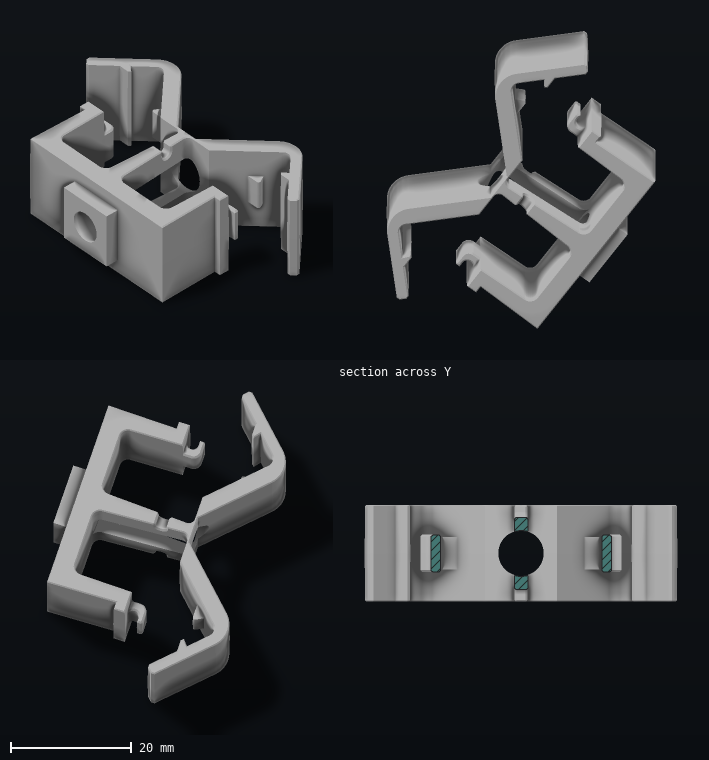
import cadquery as cq
import math

ROOT_2 = math.sqrt(2)
SHARP = 0.0

TOTAL_WIDTH = 51.73
HALF_HEIGHT = 8.0
DRAFT_ANGLE = 0.5
EDGE_BREAK = 0.2

TRAY_HALF_WIDTH = 16.3
POST_OUTER_TOP_X = 16.0
POST_INNER_TOP_X = 13.3
POST_INNER_FLOOR_X = 13.05
POST_TOP_Y = 13.95
LIP_X = 17.25
LIP_HEIGHT = 2.05
FRONT_EXCESS = 1.0
FLOOR_Y = 3.55
FLOOR_FILLET = 1.35
WEB_FLOOR_X = 1.72
WEB_TOP_X = 0.92
WEB_FILLET = 1.0

VALLEY_X = 2.2
VALLEY_Y = 20.28
ARM_BOTTOM_Y = 19.72
ARM_TOP_Y = 31.2
INNER_LEG = 3.06
OUTER_LEG = 2.1
PEAK_OUTER_RADIUS = 4.2
PEAK_INNER_RADIUS = 1.25
TIP_CHAMFER = 0.45

RIB_ROOT_X = 19.35
RIB_TIP_X = 18.3
RIB_TIP_Y = 24.6
RIB_END_X = 18.75
RIB_BOTTOM_Y = 24.1

NUB_TOP_Y = 26.15
NUB_TIP_X = 13.4
NUB_BOTTOM_Y = 24.27
NUB_FILLET = 0.4
NUB_HALF_HEIGHT = 2.7
NUB_EMBED = 1.0

HOOK_TOP_Y = 16.78
HOOK_END_X = 16.65
HOOK_OUTER_RADIUS = 1.4
HOOK_TIP_RADIUS = 0.4
HOOK_GAP_BOTTOM_Y = 13.9
HOOK_GAP_TOP_Y = 15.8
HOOK_GAP_X = 14.85
HOOK_GAP_RADIUS = 0.93
HOOK_HALF_HEIGHT = 3.1
HOOK_EDGE_BREAK = 0.3
HOOK_EMBED = 1.0

NOTCH_Y = 14.8
NOTCH_RADIUS = 0.95
NOTCH_DEPTH = 2.1
NOTCH_EDGE_BREAK = 0.3
RIM_MARGIN = 0.05

PAD_SIZE = 10.5
PAD_THICKNESS = 2.5
PAD_EMBED = 1.0
BORE_RADIUS = 2.8
CLEARANCE_RADIUS = 3.75

OUTER_RISE = VALLEY_Y - VALLEY_X
INNER_RISE = OUTER_RISE - INNER_LEG * ROOT_2
PEAK_Y = ARM_TOP_Y + PEAK_OUTER_RADIUS * (ROOT_2 - 1)
PEAK_X = PEAK_Y - OUTER_RISE
OUTER_FALL = PEAK_Y + PEAK_X
INNER_FALL = OUTER_FALL - OUTER_LEG * ROOT_2


def offset_corners(outline, inset):
    """Move each side of a clockwise (x, y, radius) outline inward by the inset.

    Yields every corner's new place, its new radius, and the directions into and out of it.
    """
    places = [cq.Vector(x, y) for x, y, _ in outline]
    for i, (_, _, radius) in enumerate(outline):
        before = (places[i] - places[i - 1]).normalized()
        after = (places[(i + 1) % len(places)] - places[i]).normalized()
        turn = before.x * after.y - before.y * after.x
        if radius > SHARP:
            radius += math.copysign(inset, turn)
        yield places[i] + (before - after) * (inset / turn), radius, before, after


def rounded_wire(outline, inset, z):
    """Closed wire of the inset outline at height z, with its rounded corners as arcs."""
    stops = []
    for corner, radius, before, after in offset_corners(outline, inset):
        corner += cq.Vector(0, 0, z)
        if radius > SHARP:
            half_turn = before.getAngle(after) / 2
            reach = radius * math.tan(half_turn)
            sagitta_gap = radius / math.cos(half_turn) - radius
            middle = corner + (after - before).normalized() * sagitta_gap
            stops.append((corner - before * reach, middle, corner + after * reach))
        else:
            stops.append((corner, None, corner))
    edges = []
    for i, (start, middle, end) in enumerate(stops):
        edges.append(cq.Edge.makeLine(stops[i - 1][2], start))
        if middle is not None:
            edges.append(cq.Edge.makeThreePointArc(start, middle, end))
    return cq.Wire.assembleEdges(edges)


def drafted(outline, half_height, edge_break):
    """Solid symmetric about z = 0, drafted both ways, with chamfered end faces."""
    straight = half_height - edge_break
    inset = straight * math.tan(math.radians(DRAFT_ANGLE))
    levels = [(0, 0), (inset, straight)]
    if edge_break > 0:
        levels.append((inset + edge_break, half_height))
    wires = [rounded_wire(outline, *level) for level in levels]
    half = cq.Workplane(cq.Solid.makeLoft(wires, True))
    return half.union(half.mirror("XY"))


def on_both_sides(feature):
    return feature.union(feature.mirror("YZ"))


def flatten_front(body):
    """Trim the front to a plane without draft and chamfer its end edges."""
    keep = cq.Workplane("XZ").rect(2 * TOTAL_WIDTH, 4 * HALF_HEIGHT).extrude(-2 * ARM_TOP_Y)
    return body.intersect(keep).faces("<Y").edges(">Z or <Z").chamfer(EDGE_BREAK)


def make_body():
    chamfer_step = TIP_CHAMFER / ROOT_2
    tip_x = TOTAL_WIDTH / 2
    tip_y = OUTER_FALL - tip_x
    inner_tip_x = tip_x + chamfer_step - OUTER_LEG / ROOT_2
    inner_tip_y = INNER_FALL - inner_tip_x
    lip_bottom_y = POST_TOP_Y - LIP_HEIGHT
    right = [
        (VALLEY_X, VALLEY_Y, SHARP),
        (PEAK_X, PEAK_Y, PEAK_OUTER_RADIUS),
        (tip_x, tip_y, SHARP),
        (tip_x, tip_y - 2 * chamfer_step, SHARP),
        (inner_tip_x + chamfer_step, inner_tip_y + chamfer_step, SHARP),
        (inner_tip_x - chamfer_step, inner_tip_y + chamfer_step, SHARP),
        (INNER_FALL - RIB_BOTTOM_Y, RIB_BOTTOM_Y, SHARP),
        (RIB_END_X, RIB_BOTTOM_Y, SHARP),
        (RIB_TIP_X, RIB_TIP_Y, SHARP),
        (RIB_ROOT_X, INNER_FALL - RIB_ROOT_X, SHARP),
        ((INNER_FALL - INNER_RISE) / 2, (INNER_FALL + INNER_RISE) / 2, PEAK_INNER_RADIUS),
        (ARM_BOTTOM_Y - INNER_RISE, ARM_BOTTOM_Y, SHARP),
        (WEB_TOP_X, ARM_BOTTOM_Y, WEB_FILLET),
        (WEB_FLOOR_X, FLOOR_Y, FLOOR_FILLET),
        (POST_INNER_FLOOR_X, FLOOR_Y, FLOOR_FILLET),
        (POST_INNER_TOP_X, POST_TOP_Y, SHARP),
        (LIP_X, POST_TOP_Y, SHARP),
        (LIP_X, lip_bottom_y, SHARP),
        (POST_OUTER_TOP_X, lip_bottom_y, SHARP),
        (TRAY_HALF_WIDTH, -FRONT_EXCESS, SHARP),
    ]
    left = [(-x, y, radius) for x, y, radius in reversed(right)]
    body = drafted(right + left, HALF_HEIGHT, EDGE_BREAK)
    return flatten_front(body)


def make_nubs():
    top_x = NUB_TOP_Y - INNER_RISE
    bottom_x = NUB_BOTTOM_Y - INNER_RISE
    nub = [
        (top_x, NUB_TOP_Y, SHARP),
        (NUB_TIP_X, NUB_BOTTOM_Y, NUB_FILLET),
        (bottom_x - NUB_EMBED, NUB_BOTTOM_Y, SHARP),
        (top_x - NUB_EMBED, NUB_TOP_Y, SHARP),
    ]
    return on_both_sides(drafted(nub, NUB_HALF_HEIGHT, 0))


def make_hooks():
    foot_y = POST_TOP_Y - HOOK_EMBED
    hook = [
        (POST_INNER_TOP_X, HOOK_TOP_Y, HOOK_OUTER_RADIUS),
        (HOOK_END_X, HOOK_TOP_Y, HOOK_TIP_RADIUS),
        (HOOK_END_X, HOOK_GAP_TOP_Y, SHARP),
        (HOOK_GAP_X, HOOK_GAP_TOP_Y, HOOK_GAP_RADIUS),
        (HOOK_GAP_X, HOOK_GAP_BOTTOM_Y, HOOK_GAP_RADIUS),
        (HOOK_END_X, HOOK_GAP_BOTTOM_Y, SHARP),
        (HOOK_END_X, foot_y, SHARP),
        (POST_INNER_TOP_X, foot_y, SHARP),
    ]
    return on_both_sides(drafted(hook, HOOK_HALF_HEIGHT, HOOK_EDGE_BREAK))


def make_pad():
    pad = cq.Workplane("XZ", origin=(0, PAD_EMBED, 0)).rect(PAD_SIZE, PAD_SIZE)
    return pad.extrude(PAD_EMBED + PAD_THICKNESS)


def make_bore():
    bore = cq.Workplane("XZ").circle(BORE_RADIUS).extrude(ARM_TOP_Y, both=True)
    clearance = cq.Workplane("XZ", origin=(0, FLOOR_Y, 0)).circle(CLEARANCE_RADIUS).extrude(-ARM_TOP_Y)
    return bore.union(clearance)


def cut_notches(body):
    """Cut the web notches and chamfer their rims."""
    centre_z = HALF_HEIGHT - NOTCH_DEPTH + NOTCH_RADIUS
    web_width = 2 * WEB_FLOOR_X
    side = cq.Workplane("YZ", origin=(-web_width / 2, NOTCH_Y, centre_z))
    notch = side.circle(NOTCH_RADIUS).extrude(web_width)
    opening = side.center(0, NOTCH_DEPTH / 2).rect(2 * NOTCH_RADIUS, NOTCH_DEPTH)
    notch = notch.union(opening.extrude(web_width))
    body = body.cut(notch).cut(notch.mirror("XY"))
    for end in (1, -1):
        near = (-web_width, NOTCH_Y - NOTCH_RADIUS - RIM_MARGIN, end * (HALF_HEIGHT - NOTCH_DEPTH - RIM_MARGIN))
        far = (web_width, NOTCH_Y + NOTCH_RADIUS + RIM_MARGIN, end * (HALF_HEIGHT + RIM_MARGIN))
        rims = cq.selectors.BoxSelector(near, far, boundingbox=True)
        body = body.edges(rims).edges("(not |X) or >Z or <Z").chamfer(NOTCH_EDGE_BREAK)
    return body


result = cut_notches(make_body())
result = result.union(make_nubs()).union(make_hooks()).union(make_pad()).cut(make_bore())